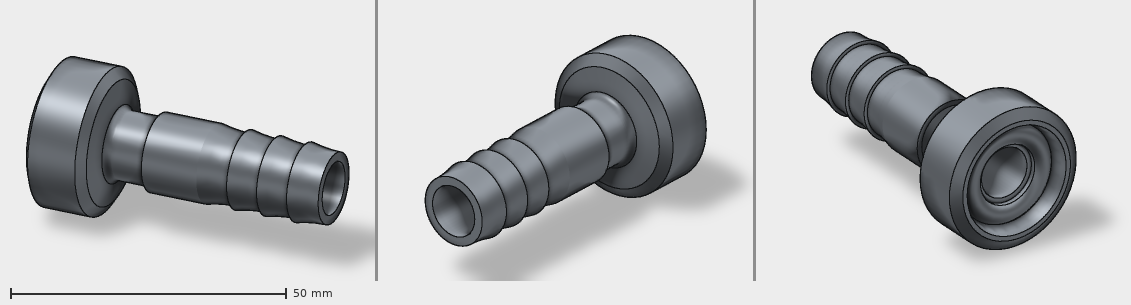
import cadquery as cq
import math

length = 56.0

head_radius = 28.0 / 2
head_rim_end = 10.65
head_back = 12.0
chamfer_length = 1.25
chamfer_angle = 60.0
chamfer_depth = chamfer_length * math.tan(math.radians(chamfer_angle))
face_radius = head_radius - chamfer_depth

neck_radius = 13.0 / 2
neck_arc_start = 13.05
neck_arc_start_radius = 7.4
neck_start = 14.55

collar_radius = 15.0 / 2
collar_start = 21.0
barb_count = 4
barb_pitch = 6.0
barb_drop = 0.7
barb_root_radius = collar_radius - barb_drop
barbs_start = length - barb_count * barb_pitch

bore_radius = 10.0 / 2
counterbore_radius = 12.0 / 2
counterbore_depth = 4.0
seat_mouth_radius = 10.9
seat_inner_radius = 20.0 / 2
seat_depth = 3.4
ring_inner_depth = 2.9
ring_radius = 2.3


def add_barb(outline, start):
    """Add one barb: a step out to the crest, then a concave flank ending parallel to the axis."""
    flank_radius = (barb_pitch**2 + barb_drop**2) / (2 * barb_drop)
    half_angle = math.asin(barb_pitch / flank_radius) / 2
    end = start + barb_pitch
    middle = (
        end - flank_radius * math.sin(half_angle),
        barb_root_radius + flank_radius * (1 - math.cos(half_angle)),
    )
    if start > barbs_start:
        outline = outline.lineTo(start, collar_radius)
    return outline.threePointArc(middle, (end, barb_root_radius))


section = (
    cq.Workplane("XY")
    .moveTo(0, seat_mouth_radius)
    .lineTo(0, face_radius)
    .lineTo(chamfer_length, head_radius)
    .lineTo(head_rim_end, head_radius)
    .lineTo(head_back, face_radius)
    .lineTo(neck_arc_start, neck_arc_start_radius)
)

arc_rise = neck_arc_start_radius - neck_radius
arc_run = neck_start - neck_arc_start
neck_arc_radius = (arc_run**2 + arc_rise**2) / (2 * arc_rise)
section = (
    section.radiusArc((neck_start, neck_radius), -neck_arc_radius)
    .lineTo(collar_start, neck_radius)
    .lineTo(collar_start, collar_radius)
    .lineTo(barbs_start, collar_radius)
)

for index in range(barb_count):
    section = add_barb(section, barbs_start + index * barb_pitch)

section = (
    section.lineTo(length, bore_radius)
    .lineTo(counterbore_depth, bore_radius)
    .lineTo(counterbore_depth, counterbore_radius)
    .lineTo(ring_inner_depth, counterbore_radius)
    .radiusArc((seat_depth, seat_inner_radius), ring_radius)
    .close()
)

result = section.revolve(360, (0, 0, 0), (1, 0, 0))